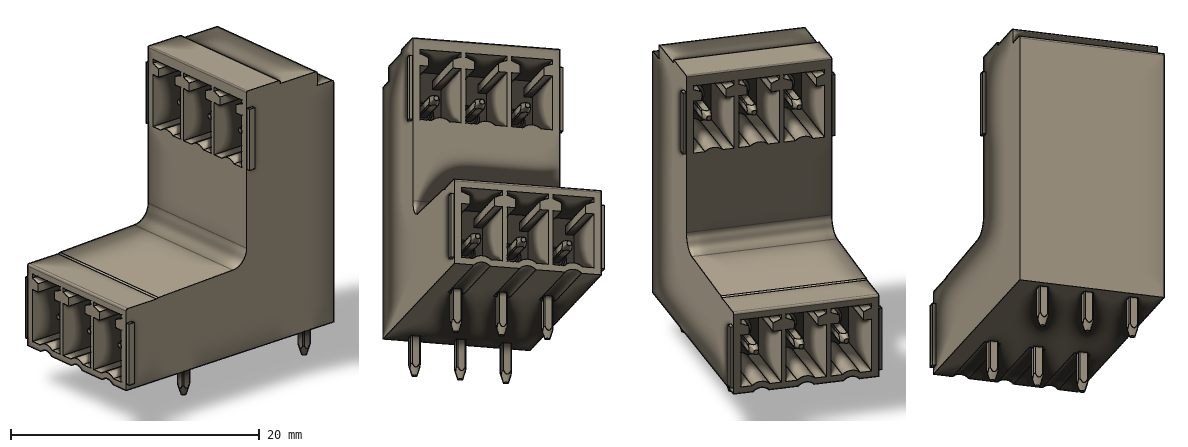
import cadquery as cq
import math


width = 12.25
depth = 21.9
tower_front = 12.72
tower_height = 22.65
rear_step_depth = 1.74
rear_step_drop = 1.53
middle_step_depth = 5.62
middle_step_drop = 0.28
step_height = 7.12
ramp_front = 3.42
ramp_front_height = 7.2
ramp_angle = 1.8
inner_radius = 1.5
edge_radius = 0.2
tower_edge_radius = 0.1
lower_edge_radius = 0.18

level_rise = 15.28
levels = [(0, 0), (tower_front, level_rise)]
pitch = 3.8
columns = [-pitch, 0, pitch]

cavity_width = 3.42
cavity_bottom = 0.55
cavity_top = 6.42
cavity_depth = 6.22

key_reach = 0.7
key_bottom = 5.08
key_shoulder = 5.8
key_root_top = 6.09

arch_rise = 0.28
ridge_half_width = 0.75
groove_half_width = 0.67

boss_radius = 1.11
boss_shoulder_radius = 0.83
boss_top_radius = 0.67
boss_shoulder_height = 0.52
boss_height = 0.62

ear_span = 12.82
ear_setback = 0.05
ear_depth = 0.57
ear_bottom = 0.55
ear_height = 5.34

pin_size = 0.8
pin_chamfer = 0.1
pin_axis_height = 2.85
pin_tip_setback = 1.3
pin_tail_setback = 8.03
pin_tail_length = 3.25
pin_tip_radius = 0.2
pin_tip_length = 0.98
pin_tip_base_radius = 0.52


def housing_block():
    """L-shaped housing extruded along X, with a stepped roof and rounded edges."""
    ramp_rise = (tower_front - ramp_front) * math.tan(math.radians(ramp_angle))
    profile = [
        (0, 0),
        (depth, 0),
        (depth, tower_height - rear_step_drop),
        (depth - rear_step_depth, tower_height - rear_step_drop),
        (depth - rear_step_depth, tower_height - middle_step_drop),
        (depth - middle_step_depth, tower_height - middle_step_drop),
        (depth - middle_step_depth, tower_height),
        (tower_front, tower_height),
        (tower_front, ramp_front_height + ramp_rise),
        (ramp_front, ramp_front_height),
        (ramp_front - edge_radius, step_height),
        (0, step_height),
    ]
    block = cq.Workplane("YZ").polyline(profile).close().extrude(width / 2, both=True)

    def round_edge(body, y, z, radius):
        return body.edges(cq.selectors.NearestToPointSelector((0, y, z))).fillet(radius)

    block = round_edge(block, tower_front, ramp_front_height + ramp_rise, inner_radius)
    block = round_edge(block, depth, tower_height - rear_step_drop, edge_radius)
    block = round_edge(block, depth - rear_step_depth, tower_height - middle_step_drop, edge_radius)
    block = round_edge(block, depth - middle_step_depth, tower_height, edge_radius)
    block = round_edge(block, tower_front, tower_height, tower_edge_radius)
    return round_edge(block, 0, step_height, lower_edge_radius)


def ears(front, base):
    """Bar whose ends stand out on both sides of the housing."""
    return cq.Workplane("XY").box(ear_span, ear_depth, ear_height, centered=(True, False, False)).translate(
        (0, front + ear_setback, base + ear_bottom)
    )


def cavity(x, front, base):
    """Keyed connector opening with an arched floor and a boss left standing at its back."""
    half = cavity_width / 2
    neck = half - key_reach
    opening = (
        cq.Workplane("XZ")
        .moveTo(-half, cavity_bottom)
        .lineTo(-ridge_half_width, cavity_bottom)
        .threePointArc((0, cavity_bottom + arch_rise), (ridge_half_width, cavity_bottom))
        .lineTo(half, cavity_bottom)
        .lineTo(half, key_bottom)
        .lineTo(neck, key_bottom)
        .lineTo(neck, key_shoulder)
        .lineTo(half, key_root_top)
        .lineTo(half, cavity_top)
        .lineTo(-half, cavity_top)
        .lineTo(-half, key_root_top)
        .lineTo(-neck, key_shoulder)
        .lineTo(-neck, key_bottom)
        .lineTo(-half, key_bottom)
        .close()
        .extrude(-cavity_depth)
    )
    boss = (
        cq.Workplane("XY")
        .polyline(
            [
                (0, cavity_depth),
                (boss_radius, cavity_depth),
                (boss_shoulder_radius, cavity_depth - boss_shoulder_height),
                (boss_top_radius, cavity_depth - boss_height),
                (0, cavity_depth - boss_height),
            ]
        )
        .close()
        .revolve(360, (0, 0), (0, 1))
        .translate((0, 0, pin_axis_height))
    )
    return opening.cut(boss).translate((x, front, base))


def underside_groove(x):
    """Arched groove in the underside, from the front face back to the front row of pin tails."""
    return (
        cq.Workplane("XZ")
        .moveTo(x - groove_half_width, 0)
        .threePointArc((x, arch_rise), (x + groove_half_width, 0))
        .close()
        .extrude(-pin_tail_setback)
    )


def pointed_bar(length):
    """Chamfered square bar along +Z with its conical tip at the origin."""
    bar = cq.Workplane("XY").rect(pin_size, pin_size).extrude(length).edges("|Z").chamfer(pin_chamfer)
    envelope = (
        cq.Workplane("XZ")
        .polyline(
            [
                (0, 0),
                (pin_tip_radius, 0),
                (pin_tip_base_radius, pin_tip_length),
                (pin_size, pin_tip_length),
                (pin_size, length),
                (0, length),
            ]
        )
        .close()
        .revolve(360, (0, 0), (0, 1))
    )
    return bar.intersect(envelope)


def contact_pin(x, front, base):
    """Right-angle pin: a contact pointing forward and a tail through the underside."""
    contact_length = pin_tail_setback - pin_tip_setback + pin_size / 2
    tail_length = pin_tail_length + base + pin_axis_height + pin_size / 2
    contact = pointed_bar(contact_length).rotate((0, 0, 0), (1, 0, 0), -90)
    contact = contact.translate((x, front + pin_tip_setback, base + pin_axis_height))
    tail = pointed_bar(tail_length).translate((x, front + pin_tail_setback, -pin_tail_length))
    return contact.union(tail)


housing = housing_block()
for level_front, level_base in levels:
    housing = housing.union(ears(level_front, level_base))
    for column in columns:
        housing = housing.cut(cavity(column, level_front, level_base))
for column in columns:
    housing = housing.cut(underside_groove(column))

pins = []
for level_front, level_base in levels:
    for column in columns:
        pin = contact_pin(column, level_front, level_base)
        housing = housing.cut(pin)
        pins.append(pin.solids().val())

result = cq.Compound.makeCompound([housing.solids().val(), *pins])